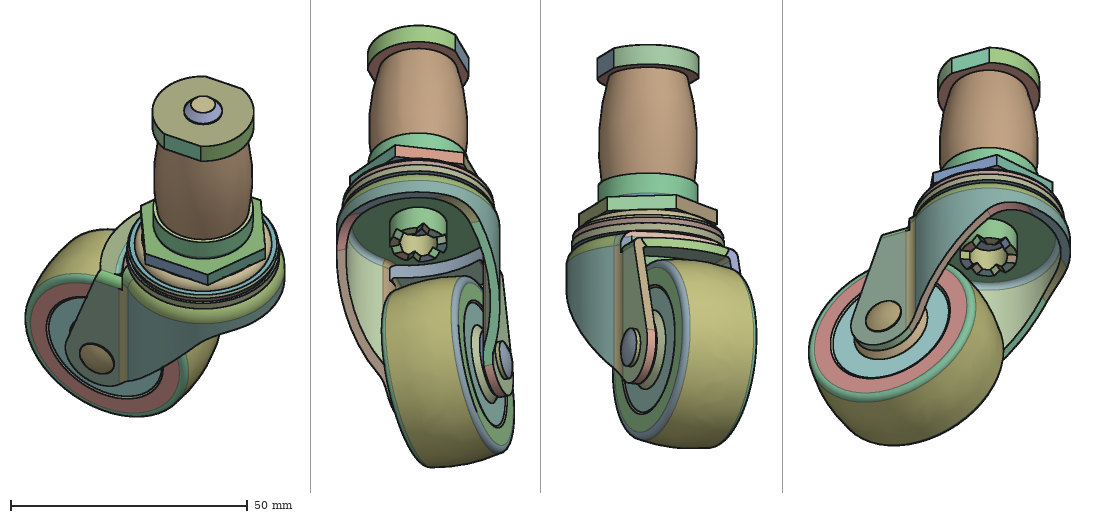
import cadquery as cq
import math


wheel_radius = 20.0
wheel_offset = 19.0
axle_z = wheel_radius
tread_half_width = 7.4
tread_edge_radius = 19.2
side_half_width = 8.5
side_radius = 17.6
tread_shoulder = (8.3, 18.8)
recess_outer_radius = 13.8
recess_floor_radius = 13.3
recess_depth = 0.3
hub_half_width = 9.6
hub_face_radius = 7.1

axle_radius = 3.0
axle_head_radius = 4.05
axle_head_dome = 1.1
left_head_rim = 0.9
right_head_rim = 0.3

sheet = 2.0
skirt_radius = 17.3
arm_half_width = 12.05
arm_end_radius = 7.5
arm_front_lean = 17.7
arm_rear_slope = 49.3
arm_blend = 4.0
fork_top = 47.6
lip_top = 44.3
lip_radius = 21.8
arm_bend = 1.8
arm_bend_inside = 0.8
dome_round = fork_top - lip_top
neck_reach = 16.3
neck_radius = 24.4
neck_round = dome_round / 2
neck_half_width = 10.1
skirt_bottom = 41.2
skirt_bottom_round = 9.2

rivet_radius = 6.1
rivet_bore_radius = 4.05
rivet_bottom = 40.1
rivet_notches = 6
rivet_notch_height = 1.3
race_radius = 16.2
race_top = 49.2
cover_edge_radius = 15.6
cover_rim_radius = 16.0
cover_rim_z = 50.5
cover_shoulder_z = 51.15
cover_dome_radius = 14.5
cover_top_radius = 13.0
cover_round = 2.1
cover_top = 53.1
hex_flats = 25.5
hex_top = 56.1
collar_radius = 10.6
collar_round = 1.3
collar_top = 61.7
barrel_bottom_radius = 9.75
barrel_radius = 10.5
barrel_widest_z = 71.8
barrel_top_radius = 8.4
barrel_top = 85.65
end_plate_radius = 10.8
end_plate_flats = 19.7
end_plate_top = 90.0
tip_radius = 4.05
tip_flat_radius = 2.6
tip_cone_bottom = 90.25
stem_top = 92.0


def turned_about_axle(profile):
    """Revolve a (radius, y) half section about the axle line."""
    return (
        profile.close()
        .revolve(360, (0, 0, 0), (0, 1, 0))
        .translate((-wheel_offset, 0, axle_z))
    )


def turned_about_stem(profile):
    """Revolve a (radius, z) half section about the stem axis."""
    return profile.close().revolve(360, (0, 0, 0), (0, 1, 0))


def make_wheel():
    floor_half_width = side_half_width - recess_depth
    hub_base_radius = hub_face_radius + hub_half_width - floor_half_width
    shoulder_y, shoulder_radius = tread_shoulder
    profile = (
        cq.Workplane("XY")
        .moveTo(axle_radius, -hub_half_width)
        .lineTo(hub_face_radius, -hub_half_width)
        .lineTo(hub_base_radius, -floor_half_width)
        .lineTo(recess_floor_radius, -floor_half_width)
        .lineTo(recess_outer_radius, -side_half_width)
        .lineTo(side_radius, -side_half_width)
        .threePointArc((shoulder_radius, -shoulder_y), (tread_edge_radius, -tread_half_width))
        .threePointArc((wheel_radius, 0), (tread_edge_radius, tread_half_width))
        .threePointArc((shoulder_radius, shoulder_y), (side_radius, side_half_width))
        .lineTo(recess_outer_radius, side_half_width)
        .lineTo(recess_floor_radius, floor_half_width)
        .lineTo(hub_base_radius, floor_half_width)
        .lineTo(hub_face_radius, hub_half_width)
        .lineTo(axle_radius, hub_half_width)
    )
    return turned_about_axle(profile)


def make_axle():
    dome_radius = (axle_head_radius**2 + axle_head_dome**2) / (2 * axle_head_dome)
    left_rim_y = arm_half_width + left_head_rim
    right_rim_y = -arm_half_width - right_head_rim
    profile = (
        cq.Workplane("XY")
        .moveTo(0, right_rim_y - axle_head_dome)
        .radiusArc((axle_head_radius, right_rim_y), -dome_radius)
        .lineTo(axle_head_radius, -arm_half_width)
        .lineTo(axle_radius, -arm_half_width)
        .lineTo(axle_radius, arm_half_width)
        .lineTo(axle_head_radius, arm_half_width)
        .lineTo(axle_head_radius, left_rim_y)
        .radiusArc((0, left_rim_y + axle_head_dome), -dome_radius)
    )
    return turned_about_axle(profile)


def blend_points(inset):
    """Skirt end, middle and arm end of the concave blend on the +Y side."""
    centre_y = arm_half_width + arm_blend
    centre_x = -math.sqrt((skirt_radius + arm_blend) ** 2 - centre_y**2)
    radius = arm_blend + inset
    skirt_angle = math.atan2(-centre_y, -centre_x)
    middle_angle = (skirt_angle - math.pi / 2) / 2

    def on_blend(angle):
        return (centre_x + radius * math.cos(angle), centre_y + radius * math.sin(angle))

    return on_blend(skirt_angle), on_blend(middle_angle), on_blend(-math.pi / 2)


def mirrored(point):
    return (point[0], -point[1])


def skirt_prism(inset, height):
    """Skirt with its blends into the arms, carried along the arms past the neck."""
    on_skirt, middle, on_arm = blend_points(inset)
    past_neck = (-lip_radius, on_arm[1])
    return (
        cq.Workplane("XY")
        .moveTo(*mirrored(past_neck))
        .lineTo(*mirrored(on_arm))
        .threePointArc(mirrored(middle), mirrored(on_skirt))
        .threePointArc((skirt_radius - inset, 0), on_skirt)
        .threePointArc(middle, on_arm)
        .lineTo(*past_neck)
        .close()
        .extrude(height)
    )


def neck_cylinder(inset, height):
    """Upright cylinder whose -X side is the drop from the raised top to the lip."""
    return (
        cq.Workplane("XY")
        .center(neck_radius - neck_reach, 0)
        .circle(neck_radius - inset)
        .extrude(height)
    )


def raised_top(inset, neck_edge):
    """Raised top of the fork down to the ground; neck_edge is the round on its -X edge."""
    height = fork_top - inset
    skirt = skirt_prism(inset, height).edges(">Z and (not <X)").fillet(dome_round - inset)
    neck = neck_cylinder(inset, height)
    if neck_edge:
        neck = neck.edges(">Z").fillet(neck_edge)
    return skirt.intersect(neck)


def arm_block(inset, bend):
    """Both arms and the lip as one block, rounded along its bends."""
    length = wheel_offset + wheel_radius
    return (
        cq.Workplane("XY")
        .box(length, 2 * (arm_half_width - inset), lip_top - inset, centered=(False, True, False))
        .translate((-length, 0, 0))
        .edges("|X and >Z")
        .fillet(bend)
    )


def fork_form(inset, bend, neck_edge):
    """Filled shape of the fork, with its faces moved inward by inset."""
    blends = skirt_prism(inset, lip_top - inset - bend)
    return arm_block(inset, bend).union(blends).union(raised_top(inset, neck_edge))


def neck_fillet():
    """Concave half of the S-bend between the raised top and the lip."""
    foot = neck_radius + neck_round
    root = neck_radius - sheet / 2
    ring = turned_about_stem(
        cq.Workplane("XZ")
        .moveTo(root, lip_top - sheet / 2)
        .lineTo(foot, lip_top - sheet / 2)
        .lineTo(foot, lip_top)
        .radiusArc((neck_radius, lip_top + neck_round), neck_round)
        .lineTo(root, lip_top + neck_round)
    ).translate((neck_radius - neck_reach, 0, 0))
    window = (
        cq.Workplane("XY")
        .box(lip_radius, 2 * neck_half_width, fork_top, centered=(False, True, False))
        .translate((-lip_radius, 0, 0))
    )
    return ring.intersect(window)


def side_outline():
    """Arms and skirt seen along Y, as a prism wider than the fork."""
    lean = math.radians(arm_front_lean)
    slope = math.radians(arm_rear_slope)
    front = (
        -wheel_offset - arm_end_radius * math.cos(lean),
        axle_z + arm_end_radius * math.sin(lean),
    )
    rear = (
        -wheel_offset + arm_end_radius * math.sin(slope),
        axle_z - arm_end_radius * math.cos(slope),
    )
    top_x = front[0] + (fork_top - front[1]) * math.tan(lean)
    knee_x = rear[0] + (skirt_bottom - rear[1]) / math.tan(slope)
    tangent = skirt_bottom_round * math.tan(slope / 2)
    knee_start = (
        knee_x - tangent * math.cos(slope),
        skirt_bottom - tangent * math.sin(slope),
    )
    return (
        cq.Workplane("XZ")
        .moveTo(top_x, fork_top)
        .lineTo(*front)
        .threePointArc((-wheel_offset, axle_z - arm_end_radius), rear)
        .lineTo(*knee_start)
        .radiusArc((knee_x + tangent, skirt_bottom), skirt_bottom_round)
        .lineTo(skirt_radius, skirt_bottom)
        .lineTo(skirt_radius, fork_top)
        .close()
        .extrude(skirt_radius, both=True)
    )


def lip_window():
    """Space between the arms, above the underside of the lip and behind its round edge."""
    return (
        cq.Workplane("XY")
        .workplane(offset=lip_top - sheet)
        .circle(lip_radius)
        .extrude(fork_top - lip_top + sheet)
        .intersect(cq.Workplane("XY").box(2 * lip_radius, 2 * (arm_half_width - sheet), 2 * fork_top))
    )


def make_fork(axle):
    outside = fork_form(0, arm_bend, neck_round).union(neck_fillet())
    shell = outside.cut(fork_form(sheet, arm_bend_inside, 0))
    rivet_hole = cq.Workplane("XY").circle(rivet_radius).extrude(fork_top)
    return (
        shell.intersect(side_outline())
        .union(shell.intersect(lip_window()))
        .cut(rivet_hole)
        .cut(axle)
        .solids()
    )


def swivel_head():
    """Hollow rivet through the fork, the bearing race and its domed cover."""
    profile = (
        cq.Workplane("XZ")
        .moveTo(0, fork_top - sheet)
        .lineTo(rivet_bore_radius, fork_top - sheet)
        .lineTo(rivet_bore_radius, rivet_bottom)
        .lineTo(rivet_radius, rivet_bottom)
        .lineTo(rivet_radius, fork_top)
        .lineTo(race_radius, fork_top)
        .lineTo(race_radius, race_top)
        .lineTo(cover_edge_radius, race_top)
        .lineTo(cover_rim_radius, cover_rim_z)
        .lineTo(cover_edge_radius, cover_shoulder_z)
        .lineTo(cover_dome_radius, cover_shoulder_z)
        .radiusArc((cover_top_radius, cover_top), -cover_round)
        .lineTo(0, cover_top)
    )
    head = turned_about_stem(profile)
    notch = (
        cq.Workplane("YZ")
        .moveTo(-rivet_notch_height, rivet_bottom)
        .lineTo(0, rivet_bottom + rivet_notch_height)
        .lineTo(rivet_notch_height, rivet_bottom)
        .close()
        .extrude(rivet_radius)
    )
    pitch = 360 / rivet_notches
    for index in range(rivet_notches):
        head = head.cut(notch.rotate((0, 0, 0), (0, 0, 1), (index + 0.5) * pitch))
    return head


def hexagon():
    across_corners = hex_flats / math.cos(math.pi / 6)
    return (
        cq.Workplane("XY")
        .workplane(offset=cover_top)
        .polygon(6, across_corners)
        .extrude(hex_top - cover_top)
    )


def collar_and_barrel():
    return turned_about_stem(
        cq.Workplane("XZ")
        .moveTo(0, hex_top)
        .lineTo(collar_radius - collar_round, hex_top)
        .radiusArc((collar_radius, hex_top + collar_round), -collar_round)
        .lineTo(collar_radius, collar_top)
        .lineTo(barrel_bottom_radius, collar_top)
        .threePointArc((barrel_radius, barrel_widest_z), (barrel_top_radius, barrel_top))
        .lineTo(0, barrel_top)
    )


def end_plate():
    """Round plate with two flats facing -Y and +Y."""
    between_flats = cq.Workplane("XY").box(2 * end_plate_radius, end_plate_flats, 2 * stem_top)
    return (
        cq.Workplane("XY")
        .workplane(offset=barrel_top)
        .circle(end_plate_radius)
        .extrude(end_plate_top - barrel_top)
        .intersect(between_flats)
    )


def tip():
    return turned_about_stem(
        cq.Workplane("XZ")
        .moveTo(0, end_plate_top)
        .lineTo(tip_radius, end_plate_top)
        .lineTo(tip_radius, tip_cone_bottom)
        .lineTo(tip_flat_radius, stem_top)
        .lineTo(0, stem_top)
    )


def make_stem():
    return (
        swivel_head()
        .union(hexagon())
        .union(collar_and_barrel())
        .union(end_plate())
        .union(tip())
        .solids()
    )


wheel = make_wheel()
axle = make_axle()
fork = make_fork(axle)
stem = make_stem()
result = cq.Compound.makeCompound([wheel.val(), axle.val(), fork.val(), stem.val()])